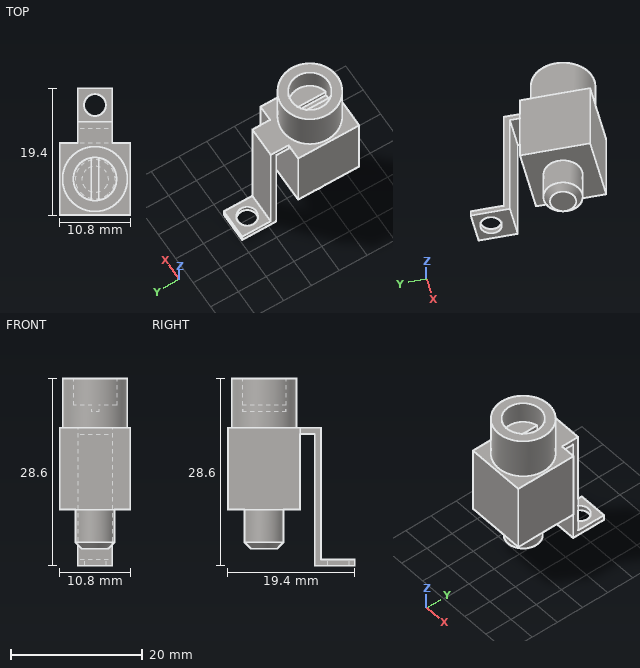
import cadquery as cq

body_width = 10.8
body_depth = 11.0
body_height = 12.5
body_back = body_depth / 2

collar_diameter = 9.9
collar_height = 7.5
collar_top = body_height + collar_height

bore_diameter = 6.6
bore_depth = 4.0
bore_floor = collar_top - bore_depth
slot_width = 1.15
slot_depth = 1.0

pin_diameter = 6.0
pin_length = 6.0
pin_chamfer = 1.0

sheet_thickness = 1.0
bracket_width = 5.3
arm_reach = 3.2
foot_reach = 5.15
foot_bottom = -8.6
foot_hole_diameter = 3.3


def make_housing():
    """Block carrying the collar."""
    block = cq.Workplane("XY").box(body_width, body_depth, body_height, centered=(True, True, False))
    return block.faces(">Z").workplane().circle(collar_diameter / 2).extrude(collar_height)


def make_pin():
    """Round pin with a chamfered tip, hanging from the block."""
    pin = cq.Workplane("XY").circle(pin_diameter / 2).extrude(-pin_length)
    return pin.faces("<Z").chamfer(pin_chamfer)


def make_bracket():
    """Z-shaped strip from the top of the block down to the foot, with a hole centred in the foot."""
    leg_outer = body_back + arm_reach
    leg_inner = leg_outer - sheet_thickness
    foot_end = leg_outer + foot_reach
    profile = [
        (body_back, body_height),
        (leg_outer, body_height),
        (leg_outer, foot_bottom + sheet_thickness),
        (foot_end, foot_bottom + sheet_thickness),
        (foot_end, foot_bottom),
        (leg_inner, foot_bottom),
        (leg_inner, body_height - sheet_thickness),
        (body_back, body_height - sheet_thickness),
    ]
    strip = cq.Workplane("YZ").polyline(profile).close().extrude(bracket_width / 2, both=True)
    hole = (
        cq.Workplane("XY", origin=(0, leg_outer + foot_reach / 2, foot_bottom))
        .circle(foot_hole_diameter / 2)
        .extrude(sheet_thickness)
    )
    return strip.cut(hole)


def make_bore():
    """Bore together with the slot that crosses its floor from wall to wall."""
    slot_floor = cq.Workplane("XY", origin=(0, 0, bore_floor - slot_depth))
    bore = cq.Workplane("XY", origin=(0, 0, bore_floor)).circle(bore_diameter / 2).extrude(bore_depth)
    slot_disc = slot_floor.circle(bore_diameter / 2).extrude(slot_depth)
    slot_bar = slot_floor.rect(slot_width, bore_diameter).extrude(slot_depth)
    slot = slot_disc.intersect(slot_bar)
    return bore.union(slot)


result = make_housing().union(make_pin()).union(make_bracket()).cut(make_bore())